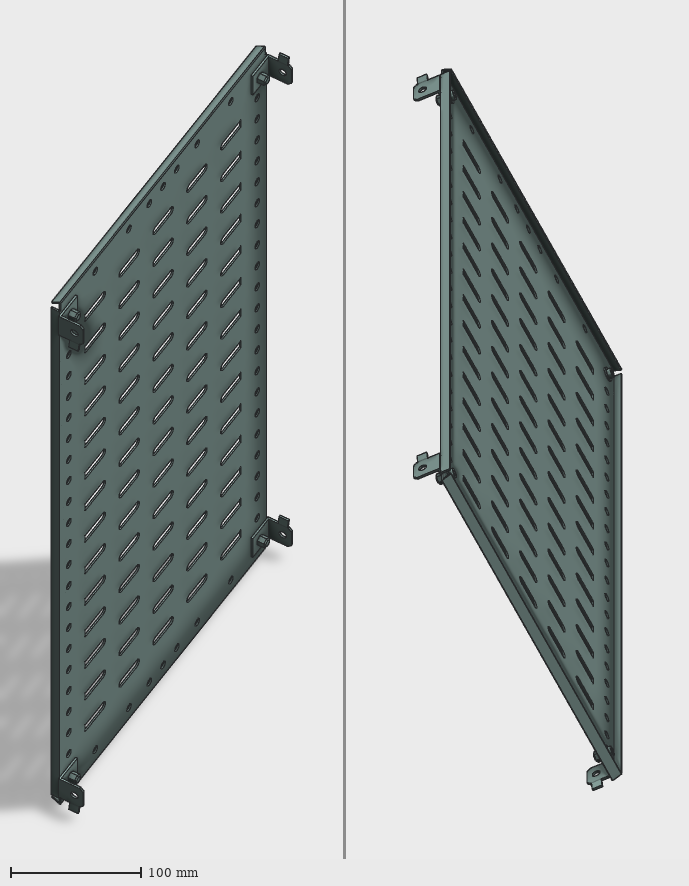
import cadquery as cq
import math

OVERALL_HEIGHT = 597.5
OVERALL_WIDTH = 311.5
OVERALL_DEPTH = 30.5
FRONT_X = -OVERALL_DEPTH / 2

SHEET = 1.5
PANEL_WIDTH = 305.0
PANEL_BACK_X = FRONT_X + 8.5
PANEL_FACE_X = PANEL_BACK_X - SHEET
FLANGE_FRONT_X = FRONT_X + 0.5
FLANGE_HEIGHT = 578.5
LIP_WIDTH = 301.0
LIP_ANGLE = 30.0

HOLE_DIAMETER = 6.5
SIDE_HOLE_COUNT = 21
SIDE_HOLE_SPAN = 499.5
SIDE_HOLE_Y = 138.5
END_HOLE_Z = 284.5
END_HOLE_OFFSETS = (20.5, 50.0, 100.0)

SLOT_ROWS = 14
SLOT_ROW_SPAN = 487.5
SLOT_COLUMN_PITCH = 199.5 / 4
SLOT_LENGTH = 30.0
SLOT_HEIGHT = 8.0

BRACKET_Z = 275.0
BRACKET_HEIGHT = 22.0
BRACKET_SHEET = 2.0
BRACKET_CHAMFER = 3.0
BASE_LENGTH = 25.0
LEG_OUTER_Y = PANEL_WIDTH / 2 + BRACKET_SHEET
BASE_BACK_X = PANEL_BACK_X + BRACKET_SHEET
LEG_END_X = OVERALL_DEPTH / 2
LEG_HOLE_X = FRONT_X + 23.0
LEG_HOLE_DIAMETER = 6.5
TAB_WIDTH = 8.5
TAB_LENGTH = 6.5
TAB_SPLAY = OVERALL_WIDTH / 2 - LEG_OUTER_Y

FASTENER_Y = 139.0
HEAD_FLANGE_DIAMETER = 11.5
HEAD_FLANGE_THICKNESS = 1.0
HEAD_DIAMETER = 8.0
HEAD_HEIGHT = 4.0
SOCKET_DIAMETER = 4.0
SOCKET_DEPTH = 2.5
SHANK_DIAMETER = 5.0
HEX_FLATS = 8.0
HEX_LENGTH = 7.0
HEX_CHAMFER = 1.0


def centred_positions(count, pitch):
    """Positions of `count` features at an even pitch, centred on zero."""
    return [(i - (count - 1) / 2) * pitch for i in range(count)]


def block(x_range, y_range, z_range):
    """Box between the given limits on each axis."""
    (x0, x1), (y0, y1), (z0, z1) = x_range, y_range, z_range
    return cq.Workplane("XY").box(x1 - x0, y1 - y0, z1 - z0, centered=False).translate((x0, y0, z0))


def rod_along_x(diameter, x_start, x_end, y, z):
    """Cylinder parallel to X."""
    plane = cq.Workplane("YZ", origin=(x_start, y, z))
    return plane.circle(diameter / 2).extrude(x_end - x_start)


def lip_profile():
    """Upper strip of the sheet, ending in a lip that slopes forward and down."""
    slope = math.radians(LIP_ANGLE)
    step_x, step_z = SHEET * math.sin(slope), SHEET * math.cos(slope)
    top_z = OVERALL_HEIGHT / 2
    peak_x = PANEL_BACK_X - step_x
    tip_z = top_z - (peak_x - FRONT_X) * math.tan(slope)
    crook_z = tip_z - step_z + (PANEL_FACE_X - FRONT_X - step_x) * math.tan(slope)
    flange_top_z = FLANGE_HEIGHT / 2
    return [
        (PANEL_BACK_X, flange_top_z),
        (PANEL_BACK_X, top_z - step_z),
        (peak_x, top_z),
        (FRONT_X, tip_z),
        (FRONT_X + step_x, tip_z - step_z),
        (PANEL_FACE_X, crook_z),
        (PANEL_FACE_X, flange_top_z),
    ]


def make_slot_cutter():
    """Cutter for all the slots."""
    half_length, radius = SLOT_LENGTH / 2, SLOT_HEIGHT / 2
    columns = (-2, -1, 0, 1, 2)
    rows = centred_positions(SLOT_ROWS, SLOT_ROW_SPAN / (SLOT_ROWS - 1))
    centres = [(c * SLOT_COLUMN_PITCH, z) for c in columns for z in rows]
    plane = cq.Workplane("YZ", origin=(PANEL_FACE_X, 0, 0))
    cutter = plane.pushPoints(centres).slot2D(SLOT_LENGTH, SLOT_HEIGHT).extrude(SHEET)
    for side in (-1, 1):
        outer_ends = [(side * (2 * SLOT_COLUMN_PITCH + (half_length - radius / 2)), z) for z in rows]
        cutter = cutter.union(plane.pushPoints(outer_ends).rect(radius, SLOT_HEIGHT).extrude(SHEET))
    return cutter


def make_panel():
    """Perforated panel with its flanges and lips."""
    half_width, half_flange = PANEL_WIDTH / 2, FLANGE_HEIGHT / 2
    flange_z = (-half_flange, half_flange)
    panel = block((PANEL_FACE_X, PANEL_BACK_X), (-half_width, half_width), flange_z)
    for y in (-half_width, half_width - SHEET):
        panel = panel.union(block((FLANGE_FRONT_X, PANEL_BACK_X), (y, y + SHEET), flange_z))
    lip = cq.Workplane("XZ").polyline(lip_profile()).close().extrude(LIP_WIDTH / 2, both=True)
    panel = panel.union(lip).union(lip.mirror("XY"))

    side_rows = centred_positions(SIDE_HOLE_COUNT, SIDE_HOLE_SPAN / (SIDE_HOLE_COUNT - 1))
    holes = [(y, z) for y in (-SIDE_HOLE_Y, SIDE_HOLE_Y) for z in side_rows]
    for z in (-END_HOLE_Z, END_HOLE_Z):
        holes.append((0, z))
        holes += [(side * y, z) for side in (-1, 1) for y in END_HOLE_OFFSETS]
    plane = cq.Workplane("YZ", origin=(PANEL_FACE_X, 0, 0))
    panel = panel.cut(plane.pushPoints(holes).circle(HOLE_DIAMETER / 2).extrude(SHEET))
    panel = panel.cut(make_slot_cutter())

    for y in (-FASTENER_Y, FASTENER_Y):
        for z in (-BRACKET_Z, BRACKET_Z):
            panel = panel.cut(rod_along_x(SHANK_DIAMETER, PANEL_FACE_X, PANEL_BACK_X, y, z))
    return panel


def make_bracket():
    """Bracket for the +Y side, centred on Z = 0, with its splayed tab upward."""
    half_height = BRACKET_HEIGHT / 2
    leg_inner_y = LEG_OUTER_Y - BRACKET_SHEET
    base_end_y = LEG_OUTER_Y - BASE_LENGTH
    base = block((PANEL_BACK_X, BASE_BACK_X), (base_end_y, LEG_OUTER_Y), (-half_height, half_height))
    leg = block((PANEL_BACK_X, LEG_END_X), (leg_inner_y, LEG_OUTER_Y), (-half_height, half_height))
    leg = leg.edges("|Y and >X").chamfer(BRACKET_CHAMFER)
    bracket = base.union(leg)

    tab_x = (LEG_HOLE_X - TAB_WIDTH / 2, LEG_HOLE_X + TAB_WIDTH / 2)
    plain_tab = block(tab_x, (leg_inner_y, LEG_OUTER_Y), (-half_height - TAB_LENGTH, -half_height))
    tip_z = half_height + TAB_LENGTH
    splayed_tab = (
        cq.Workplane("YZ", origin=(tab_x[0], 0, 0))
        .polyline([
            (leg_inner_y, half_height),
            (LEG_OUTER_Y, half_height),
            (LEG_OUTER_Y + TAB_SPLAY, tip_z),
            (leg_inner_y + TAB_SPLAY, tip_z),
        ])
        .close()
        .extrude(TAB_WIDTH)
    )
    bracket = bracket.union(splayed_tab)
    leg_hole = cq.Workplane("XZ", origin=(LEG_HOLE_X, LEG_OUTER_Y, 0)).circle(LEG_HOLE_DIAMETER / 2)
    bracket = bracket.cut(leg_hole.extrude(BRACKET_SHEET))
    return bracket.cut(rod_along_x(SHANK_DIAMETER, PANEL_BACK_X, BASE_BACK_X, FASTENER_Y, 0))


def make_fastener():
    """Fastener on the X axis: head on the panel face, hexagon on the bracket base."""
    flange = rod_along_x(HEAD_FLANGE_DIAMETER, PANEL_FACE_X - HEAD_FLANGE_THICKNESS, PANEL_FACE_X, 0, 0)
    head_front_x = PANEL_FACE_X - HEAD_HEIGHT
    head = rod_along_x(HEAD_DIAMETER, head_front_x, PANEL_FACE_X, 0, 0).union(flange)
    head = head.cut(rod_along_x(SOCKET_DIAMETER, head_front_x, head_front_x + SOCKET_DEPTH, 0, 0))
    shank = rod_along_x(SHANK_DIAMETER, PANEL_FACE_X, BASE_BACK_X, 0, 0)
    hexagon = (
        cq.Workplane("YZ", origin=(BASE_BACK_X, 0, 0))
        .transformed(rotate=(0, 0, 90))
        .polygon(6, HEX_FLATS / math.cos(math.pi / 6))
        .extrude(HEX_LENGTH)
        .faces(">X")
        .chamfer(HEX_CHAMFER)
    )
    return head.union(shank).union(hexagon)


panel = make_panel()

brackets = []
fasteners = []
for turn in (0, 180):
    for z in (-BRACKET_Z, BRACKET_Z):
        side = 1 if turn == 0 else -1
        turned_bracket = make_bracket().rotate((0, 0, 0), (1, 0, 0), turn)
        brackets.append(turned_bracket.translate((0, 0, z)).val())
        fasteners.append(make_fastener().translate((0, side * FASTENER_Y, z)).val())

result = cq.Compound.makeCompound([panel.val(), *brackets, *fasteners])